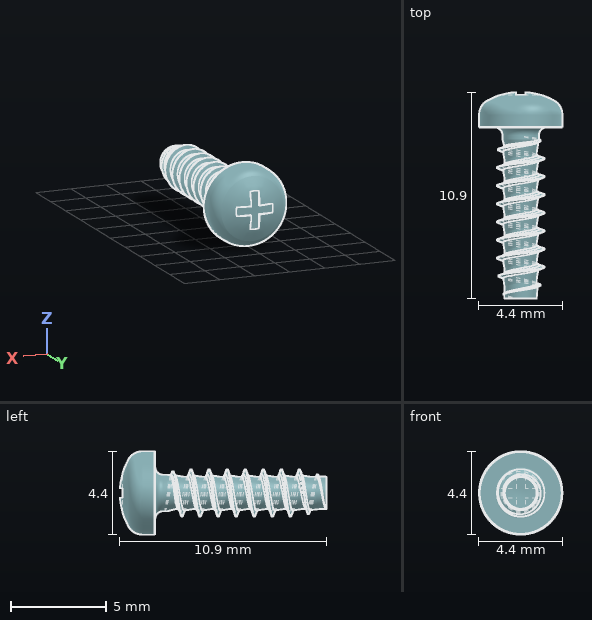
import cadquery as cq
import math


HEAD_RADIUS = 2.2
HEAD_TOP = 1.87
HEAD_RIM_TOP = 0.68
SHOULDER_RADIUS = 0.85
UNDERSIDE_CHAMFER = 0.05
SLOT_WIDTH = 0.49
SLOT_DEPTH = 0.14

SHANK_LENGTH = 9.0
COLLAR_RADIUS = 0.967
NECK_FILLET = 0.39
COLLAR_END = 0.63
COLLAR_TAPER = 0.42
CORE_RADIUS = 0.855
TIP_RADIUS = 0.83
TIP_DIMPLE_DEPTH = 0.06
TIP_TRIM = 1.0

PITCH = 0.95
CREST_RADIUS = 1.25
CREST_WIDTH = 0.03
THREAD_OFFSET = 0.68
START_TURN = -0.25
FULL_START_TURN = 1.0
FULL_END_TURN = 7.25
END_TURN = 8.7
RUNOUT_TURN = 8.75
START_HEIGHT = 0.25
POINTS_PER_TURN = 24

HEAD_BASE = 0.185
HEAD_KNEE = 0.087
HEAD_KNEE_HEIGHT = 0.14
TIP_BASE = 0.13
TIP_BASE_HEIGHT = 0.075
ROOT_TAPER_END = 0.59
HEAD_OVERLAP = 0.02
ROOT_OVERLAP = 0.1
EMBED_DEPTH = 0.12


def make_head_and_core():
    """Revolved body: domed head, filleted neck, collar and an overlong core."""
    corner_radius = SLOT_WIDTH / math.sqrt(2)
    shoulder_x = HEAD_RADIUS - SHOULDER_RADIUS

    def dome_radius_for(apex):
        rise = apex - HEAD_RIM_TOP
        return (shoulder_x**2 + rise**2 - SHOULDER_RADIUS**2) / (2 * (rise - SHOULDER_RADIUS))

    rough_dome = dome_radius_for(HEAD_TOP)
    apex = HEAD_TOP + rough_dome - math.sqrt(rough_dome**2 - corner_radius**2)
    dome_radius = dome_radius_for(apex)
    dome_center = apex - dome_radius

    meet_angle = math.atan2(shoulder_x, HEAD_RIM_TOP - dome_center)
    shoulder_mid = (meet_angle + math.pi / 2) / 2
    dome_mid = meet_angle / 2

    def on_shoulder(angle):
        return (
            shoulder_x + SHOULDER_RADIUS * math.sin(angle),
            HEAD_RIM_TOP + SHOULDER_RADIUS * math.cos(angle),
        )

    def on_dome(angle):
        return (dome_radius * math.sin(angle), dome_center + dome_radius * math.cos(angle))

    diagonal = math.sqrt(0.5)
    neck_radius = COLLAR_RADIUS + NECK_FILLET
    neck_mid = (neck_radius - NECK_FILLET * diagonal, -NECK_FILLET + NECK_FILLET * diagonal)

    profile = (
        cq.Workplane("XY")
        .moveTo(0, apex)
        .threePointArc(on_dome(dome_mid), on_dome(meet_angle))
        .threePointArc(on_shoulder(shoulder_mid), (HEAD_RADIUS, HEAD_RIM_TOP))
        .lineTo(HEAD_RADIUS, UNDERSIDE_CHAMFER)
        .lineTo(HEAD_RADIUS - UNDERSIDE_CHAMFER, 0)
        .lineTo(neck_radius, 0)
        .threePointArc(neck_mid, (COLLAR_RADIUS, -NECK_FILLET))
        .lineTo(COLLAR_RADIUS, -COLLAR_END)
        .lineTo(CORE_RADIUS, -COLLAR_END - COLLAR_TAPER)
        .lineTo(CORE_RADIUS, -SHANK_LENGTH - TIP_TRIM)
        .lineTo(0, -SHANK_LENGTH - TIP_TRIM)
        .close()
    )
    return profile.revolve(360, (0, 0, 0), (0, 1, 0))


def cut_cross_slots(body):
    """Two flat-floored slots crossing at the top of the dome."""
    length = 2 * HEAD_RADIUS
    height = 2 * SLOT_DEPTH
    for size_x, size_z in ((length, SLOT_WIDTH), (SLOT_WIDTH, length)):
        slot = cq.Workplane("XY").box(size_x, height, size_z).translate((0, HEAD_TOP, 0))
        body = body.cut(slot)
    return body


def ridge_section(turn):
    """Corners of the ridge section at a turn, as (axial offset, radius)."""
    crest_scale = 1.0
    root_scale = 1.0
    if turn < FULL_START_TURN:
        remaining = (FULL_START_TURN - turn) / (FULL_START_TURN - START_TURN)
        crest_scale = 1 - (1 - START_HEIGHT) * remaining**2
    elif turn > FULL_END_TURN:
        crest_scale = (RUNOUT_TURN - turn) / (RUNOUT_TURN - FULL_END_TURN)
        root_scale = crest_scale

    head_slope = HEAD_KNEE_HEIGHT / (HEAD_BASE - HEAD_KNEE)
    root_slope = TIP_BASE_HEIGHT / (ROOT_TAPER_END - TIP_BASE) * root_scale
    tip_base = TIP_BASE * crest_scale
    head_edge = -(HEAD_BASE + HEAD_OVERLAP) * root_scale
    root_edge = ROOT_TAPER_END + ROOT_OVERLAP
    crest = CORE_RADIUS + (CREST_RADIUS - CORE_RADIUS) * crest_scale
    half_crest = CREST_WIDTH / 2 * crest_scale
    inner = CORE_RADIUS - EMBED_DEPTH
    return [
        (head_edge, CORE_RADIUS - HEAD_OVERLAP * head_slope * root_scale),
        (-HEAD_KNEE * root_scale, CORE_RADIUS + HEAD_KNEE_HEIGHT * crest_scale),
        (-half_crest, crest),
        (half_crest, crest),
        (tip_base, CORE_RADIUS + (ROOT_TAPER_END - tip_base) * root_slope),
        (root_edge, CORE_RADIUS - ROOT_OVERLAP * root_slope),
        (root_edge, inner),
        (head_edge, inner),
    ]


def make_ridge_piece(first_turn, last_turn):
    """One piece of the ridge: ruled faces between the helices of the section corners."""
    steps = math.ceil((last_turn - first_turn) * POINTS_PER_TURN)
    sections = []
    for i in range(steps + 1):
        turn = first_turn + (last_turn - first_turn) * i / steps
        angle = 2 * math.pi * turn
        crest_y = -THREAD_OFFSET - PITCH * turn
        sections.append([
            cq.Vector(radius * math.cos(angle), crest_y - offset, radius * math.sin(angle))
            for offset, radius in ridge_section(turn)
        ])

    helices = [cq.Edge.makeSpline(list(track)) for track in zip(*sections)]
    following = helices[1:] + helices[:1]
    faces = [cq.Face.makeRuledSurface(a, b) for a, b in zip(helices, following)]
    for section in (sections[0], sections[-1]):
        faces.append(cq.Face.makeFromWires(cq.Wire.makePolygon(section, close=True)))
    ridge = cq.Solid.makeSolid(cq.Shell.makeShell(faces))
    return ridge.fix()


def add_thread(body):
    """Join the ridge one turn at a time, the pieces meeting on the +X side."""
    breaks = [START_TURN, *range(1, math.ceil(END_TURN)), END_TURN]
    for first_turn, last_turn in zip(breaks, breaks[1:]):
        body = body.union(cq.Workplane("XY").add(make_ridge_piece(first_turn, last_turn)))
    return body


def trim_tip(body):
    """Cut core and thread off at the tip, leaving a chamfered edge and a conical dimple."""
    chamfer_rise = CREST_RADIUS - TIP_RADIUS
    cutter = (
        cq.Workplane("XY")
        .moveTo(0, -SHANK_LENGTH + TIP_DIMPLE_DEPTH)
        .lineTo(TIP_RADIUS, -SHANK_LENGTH)
        .lineTo(CREST_RADIUS, -SHANK_LENGTH + chamfer_rise)
        .lineTo(CREST_RADIUS, -SHANK_LENGTH - 2 * TIP_TRIM)
        .lineTo(0, -SHANK_LENGTH - 2 * TIP_TRIM)
        .close()
        .revolve(360, (0, 0, 0), (0, 1, 0))
    )
    return body.cut(cutter)


result = trim_tip(add_thread(cut_cross_slots(make_head_and_core())))